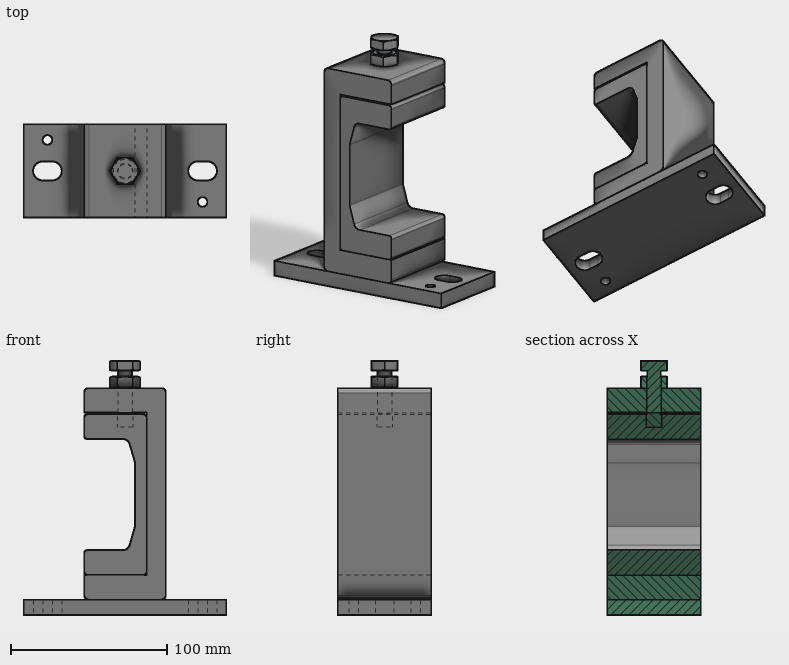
import cadquery as cq
import math

depth = 60.0
total_height = 163.0

plate_length = 130.0
plate_height = 10.0
hole_offset_x = 49.7
slot_length = 18.3
slot_width = 12.0
dowel_diameter = 6.0
dowel_offset_y = 19.9

bracket_width = 52.5
bracket_height = 135.6
bracket_flange = 15.8
bracket_web = 12.4
bracket_fillet = 3.0

liner_height = 103.0
liner_flange = 16.0
liner_web = 7.5
liner_edge_fillet = 2.1
liner_corner_fillet = 4.5
taper_height = 15.2
taper_angle = 16.0

hex_across_flats = 17.0
hex_seat_diameter = 15.3
hex_chamfer_angle = 20.0
head_height = 6.5
nut_height = 7.5
bolt_diameter = 9.1

pin_diameter = 10.0
pin_protrusion = 0.7
pin_seat_depth = 8.2

left_x = -bracket_width / 2
right_x = bracket_width / 2
web_x = right_x - bracket_web
bracket_top = plate_height + bracket_height
bracket_opening_top = bracket_top - bracket_flange
liner_bottom = plate_height + bracket_flange
liner_top = liner_bottom + liner_height
nut_top = bracket_top + nut_height
head_bottom = total_height - head_height
pin_bottom = liner_top - pin_seat_depth
pin_top = liner_top + pin_protrusion


def extrude_across_depth(outline):
    """Extrude a closed list of (x, z) points symmetrically along Y."""
    return cq.Workplane("XZ").polyline(outline).close().extrude(depth / 2, both=True)


def fillet_edge(body, x, z, radius):
    """Round the edge that runs along Y through the point (x, z)."""
    return body.edges(cq.selectors.NearestToPointSelector((x, 0, z))).fillet(radius)


def make_base_plate():
    plate = cq.Workplane("XY").box(plate_length, depth, plate_height, centered=(True, True, False))
    slots = (
        cq.Workplane("XY")
        .pushPoints([(-hole_offset_x, 0), (hole_offset_x, 0)])
        .slot2D(slot_length, slot_width)
        .extrude(plate_height)
    )
    dowel_holes = (
        cq.Workplane("XY")
        .pushPoints([(-hole_offset_x, dowel_offset_y), (hole_offset_x, -dowel_offset_y)])
        .circle(dowel_diameter / 2)
        .extrude(plate_height)
    )
    return plate.cut(slots).cut(dowel_holes)


def make_bracket():
    bracket = extrude_across_depth([
        (left_x, plate_height),
        (right_x, plate_height),
        (right_x, bracket_top),
        (left_x, bracket_top),
        (left_x, bracket_opening_top),
        (web_x, bracket_opening_top),
        (web_x, liner_bottom),
        (left_x, liner_bottom),
    ])
    for x in (left_x, right_x):
        for z in (plate_height, bracket_top):
            bracket = fillet_edge(bracket, x, z, bracket_fillet)
    bolt_hole = make_cylinder(bolt_diameter, bracket_opening_top, bracket_top)
    return bracket.cut(bolt_hole)


def make_liner():
    inner_x = web_x - liner_web
    corner_x = inner_x - taper_height * math.tan(math.radians(taper_angle))
    lower_z = liner_bottom + liner_flange
    upper_z = liner_top - liner_flange
    liner = extrude_across_depth([
        (left_x, liner_bottom),
        (web_x, liner_bottom),
        (web_x, liner_top),
        (left_x, liner_top),
        (left_x, upper_z),
        (corner_x, upper_z),
        (inner_x, upper_z - taper_height),
        (inner_x, lower_z + taper_height),
        (corner_x, lower_z),
        (left_x, lower_z),
    ])
    for z in (lower_z, upper_z):
        liner = fillet_edge(liner, corner_x, z, liner_corner_fillet)
        liner = fillet_edge(liner, left_x, z, liner_edge_fillet)
    for x in (left_x, web_x):
        liner = fillet_edge(liner, x, liner_top, liner_edge_fillet)
        liner = fillet_edge(liner, x, liner_bottom, liner_edge_fillet)
    return liner.cut(make_cylinder(pin_diameter, pin_bottom, liner_top))


def make_cylinder(diameter, bottom, top):
    return cq.Workplane("XY").workplane(offset=bottom).circle(diameter / 2).extrude(top - bottom)


def make_hexagon(bottom, top, top_face_diameter):
    """Hexagonal prism with corners on the X axis and conically chamfered at both ends."""
    corner_radius = hex_across_flats / math.sqrt(3)
    bottom_radius = hex_seat_diameter / 2
    top_radius = top_face_diameter / 2
    slope = math.tan(math.radians(hex_chamfer_angle))
    prism = (
        cq.Workplane("XY")
        .workplane(offset=bottom)
        .polygon(6, 2 * corner_radius)
        .extrude(top - bottom)
    )
    envelope = (
        cq.Workplane("XZ")
        .polyline([
            (0, bottom),
            (bottom_radius, bottom),
            (corner_radius, bottom + (corner_radius - bottom_radius) * slope),
            (corner_radius, top - (corner_radius - top_radius) * slope),
            (top_radius, top),
            (0, top),
        ])
        .close()
        .revolve(360, (0, 0), (0, 1))
    )
    return prism.intersect(envelope)


def make_nut():
    nut = make_hexagon(bracket_top, nut_top, hex_seat_diameter)
    return nut.cut(make_cylinder(bolt_diameter, bracket_top, nut_top))


def make_bolt():
    """Hexagon-head bolt whose tip presses on the pin."""
    head = make_hexagon(head_bottom, total_height, hex_across_flats)
    shank = make_cylinder(bolt_diameter, pin_top, head_bottom)
    return head.union(shank)


def make_pin():
    return make_cylinder(pin_diameter, pin_bottom, pin_top)


base_plate = make_base_plate()
bracket = make_bracket()
liner = make_liner()
nut = make_nut()
bolt = make_bolt()
pin = make_pin()

result = cq.Compound.makeCompound([
    base_plate.val(),
    bracket.val(),
    liner.val(),
    nut.val(),
    bolt.val(),
    pin.val(),
])